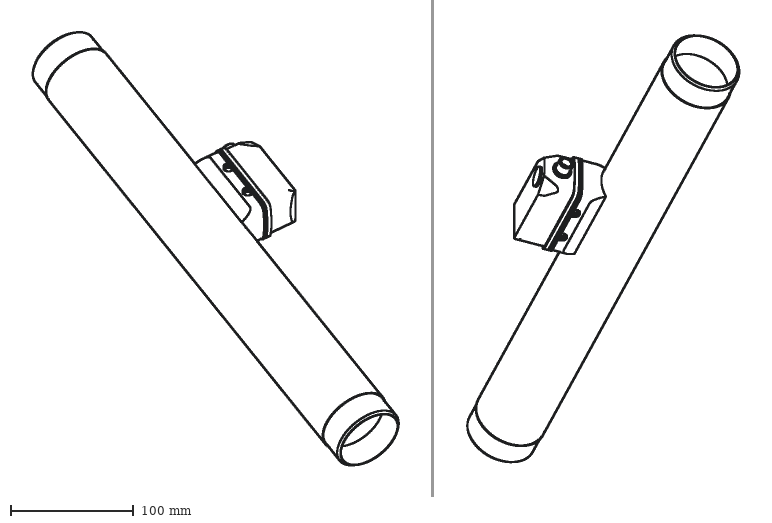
import cadquery as cq

tube_length = 475.0
tube_diameter = 60.5
end_diameter = 59.0
end_length = 23.5
end_chamfer = 2.0
bore_diameter = 54.0
bore_depth = 23.0

housing_middle_x = 199.5
end_bulge = 2.5

base_length = 75.0
base_height = 43.0
base_corner_radius = 6.0
base_foot_y = 19.0
slope_start_y = 37.5
slope_rise = 2.4
slope_inset = 1.2

rim_length = 76.5
rim_height = 44.0
rim_corner_radius = 6.0
rim_bottom_y = 46.5
rim_top_y = 53.0
groove_bottom_y = 48.0
groove_top_y = 49.5
groove_depth = 1.0

cover_length = 73.5
cover_height = 40.5
cover_corner_radius = 5.0
cover_top_y = 79.5
cover_bevel_drop = 4.8
cover_bevel_inset = 1.5
far_bevel_drop = 7.0
far_bevel_inset = 4.0
facet_setback_x = 17.0
facet_setback_y = 19.0
facet_setback_z = 10.5

cap_diameter = 16.5
cap_height = 1.65
cap_offset_x = -23.5

connector_y = 64.0
connector_tip_x = 152.5
connector_diameter = 12.0
connector_chamfer = 0.5
connector_hole_diameter = 8.5
connector_hole_depth = 7.0
collar_diameter = 15.0
collar_length = 1.5

screw_spacing = 30.0
screw_offset_x = 0.5
screw_y = 44.5
screw_recess_diameter = 8.5
screw_recess_depth = 2.0
screw_socket_diameter = 5.5
screw_socket_depth = 4.0

cover_start_x = housing_middle_x - cover_length / 2
cover_end_x = housing_middle_x + cover_length / 2


def rod(start_x, length, diameter, y=0.0):
    """Cylinder along +X."""
    return cq.Workplane("YZ", origin=(start_x, y, 0)).circle(diameter / 2).extrude(length)


def rounded_block(length, height, corner_radius, bottom_y, top_y):
    """Block along Y with bulging X ends and rounded corners."""
    half_length = length / 2
    half_height = height / 2
    shoulder = half_length - end_bulge
    return (
        cq.Workplane("XZ", origin=(housing_middle_x, bottom_y, 0))
        .moveTo(-shoulder, half_height)
        .lineTo(shoulder, half_height)
        .threePointArc((half_length, 0), (shoulder, -half_height))
        .lineTo(-shoulder, -half_height)
        .threePointArc((-half_length, 0), (-shoulder, half_height))
        .close()
        .extrude(bottom_y - top_y)
        .edges("|Y")
        .fillet(corner_radius)
    )


def make_tube():
    tube = rod(0, tube_length, end_diameter).faces("<X or >X").chamfer(end_chamfer)
    tube = tube.union(rod(end_length, tube_length - 2 * end_length, tube_diameter))
    for start_x in (0, tube_length - bore_depth):
        tube = tube.cut(rod(start_x, bore_depth, bore_diameter))
    return tube


def make_base():
    """Half of the housing next to the tube, narrowing in Z towards it."""
    half_height = base_height / 2
    foot_inset = slope_inset * (slope_start_y - base_foot_y) / slope_rise
    foot_half_height = half_height - foot_inset
    section = (
        cq.Workplane("YZ", origin=(housing_middle_x, 0, 0))
        .polyline([
            (base_foot_y, -foot_half_height),
            (slope_start_y, -half_height),
            (rim_bottom_y, -half_height),
            (rim_bottom_y, half_height),
            (slope_start_y, half_height),
            (base_foot_y, foot_half_height),
        ])
        .close()
        .extrude(base_length / 2, both=True)
    )
    block = rounded_block(base_length, base_height, base_corner_radius, base_foot_y, rim_bottom_y)
    return block.intersect(section)


def make_rim():
    """Parting rim between base and cover, with a groove around it."""
    layers = [
        (rim_bottom_y, groove_bottom_y, 0),
        (groove_bottom_y, groove_top_y, groove_depth),
        (groove_top_y, rim_top_y, 0),
    ]
    rim = cq.Workplane()
    for bottom_y, top_y, inset in layers:
        length = rim_length - 2 * inset
        height = rim_height - 2 * inset
        rim = rim.union(rounded_block(length, height, rim_corner_radius - inset, bottom_y, top_y))
    return rim


def corner_facet(side):
    """Tetrahedron whose slanted face cuts off the -X, +Y corner at one Z side."""
    corner = cq.Vector(cover_start_x, cover_top_y, side * cover_height / 2)
    legs = [
        cq.Vector(facet_setback_x, 0, 0),
        cq.Vector(0, -facet_setback_y, 0),
        cq.Vector(0, 0, -side * facet_setback_z),
    ]
    points = [corner] + [corner + leg for leg in legs]
    triples = [(0, 1, 2), (0, 1, 3), (0, 2, 3), (1, 2, 3)]
    faces = [
        cq.Face.makeFromWires(cq.Wire.makePolygon([points[i] for i in triple], close=True))
        for triple in triples
    ]
    return cq.Solid.makeSolid(cq.Shell.makeShell(faces))


def make_cover():
    cover = rounded_block(cover_length, cover_height, cover_corner_radius, rim_top_y, cover_top_y)
    bevel_y = cover_top_y - cover_bevel_drop
    half_height = cover_height / 2
    for side in (1, -1):
        long_bevel = (
            cq.Workplane("YZ", origin=(housing_middle_x, 0, 0))
            .polyline([
                (bevel_y, side * half_height),
                (cover_top_y, side * half_height),
                (cover_top_y, side * (half_height - cover_bevel_inset)),
            ])
            .close()
            .extrude(cover_length / 2, both=True)
        )
        cover = cover.cut(long_bevel).cut(cq.Workplane(corner_facet(side)))
    far_bevel = (
        cq.Workplane("XY")
        .polyline([
            (cover_end_x, cover_top_y - far_bevel_drop),
            (cover_end_x, cover_top_y),
            (cover_end_x - far_bevel_inset, cover_top_y),
        ])
        .close()
        .extrude(half_height, both=True)
    )
    cap = (
        cq.Workplane("XZ", origin=(housing_middle_x + cap_offset_x, cover_top_y, 0))
        .circle(cap_diameter / 2)
        .extrude(-cap_height)
    )
    return cover.cut(far_bevel).union(cap)


def add_connector(body):
    length = housing_middle_x - connector_tip_x
    connector = rod(connector_tip_x, length, connector_diameter, connector_y)
    connector = connector.faces("<X").chamfer(connector_chamfer)
    collar_start_x = cover_start_x - collar_length
    collar = rod(collar_start_x, housing_middle_x - collar_start_x, collar_diameter, connector_y)
    hole = rod(connector_tip_x, connector_hole_depth, connector_hole_diameter, connector_y)
    return body.union(connector).union(collar).cut(hole)


def cut_screws(body):
    for side in (1, -1):
        for step in (-0.5, 0.5):
            x = housing_middle_x + screw_offset_x + step * screw_spacing
            face = cq.Workplane("XY", origin=(x, screw_y, side * base_height / 2))
            recess = face.circle(screw_recess_diameter / 2).extrude(-side * screw_recess_depth)
            socket = face.circle(screw_socket_diameter / 2).extrude(-side * screw_socket_depth)
            body = body.cut(recess).cut(socket)
    return body


housing = make_base().union(make_rim()).union(make_cover())
result = make_tube().union(cut_screws(add_connector(housing)))